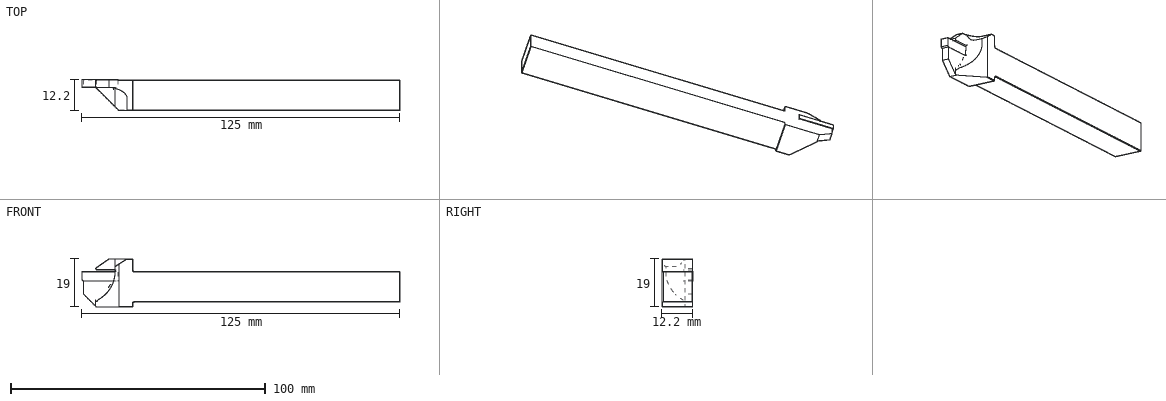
import cadquery as cq
import math

LENGTH = 125
WIDTH = 12.0
HEAD_HEIGHT = 19.0
HEAD_END = 20
SHANK_BOTTOM = 2.0
SHANK_TOP = 14.0
NECK_FILLET = 0.8
EDGE_CHAMFER = 0.2

BLADE_FACE = 9.1
BLADE_FRONT = 0.5
BLADE_BEVEL = 5.2
JAW_TIP_X = 5.2
JAW_TIP_Z = 15.2
JAW_BOTTOM = 14.6
JAW_TIP_BEVEL = 0.5
JAW_SLOPE_END = 10.6

INSERT_LENGTH = 14.1
INSERT_BOTTOM = 10.2
INSERT_TOP = SHANK_TOP
INSERT_PROUD = 0.2
INSERT_NOSE_BEVEL = BLADE_FRONT

CLEARANCE_END = 14.5
SCOOP_WALL = 13.0
SCOOP_RADIUS = 12.5
SCOOP_SWEEP = 60
SCOOP_FILLET = 0.8
SCOOP_FOOT = 5.6
RELIEF_END = 17.8
RELIEF_SLOPE = 32.5
RELIEF_RADIUS = 4.4
CUT_MARGIN = 6.2


def prism(profile, y_start, y_end):
    """Extrude an XZ profile between two Y positions."""
    return profile.extrude(y_start - y_end).translate((0, y_start, 0))


def box(x_start, x_end, y_start, y_end, z_start, z_end):
    size = (x_end - x_start, y_end - y_start, z_end - z_start)
    return cq.Workplane("XY").box(*size, centered=False).translate((x_start, y_start, z_start))


def make_blank():
    """Shank and head, before the front of the head is cut away."""
    outline = (
        cq.Workplane("XZ")
        .moveTo(BLADE_FRONT + BLADE_BEVEL, 0)
        .lineTo(HEAD_END - EDGE_CHAMFER, 0)
        .lineTo(HEAD_END, EDGE_CHAMFER)
        .lineTo(HEAD_END, SHANK_BOTTOM)
        .lineTo(LENGTH, SHANK_BOTTOM)
        .lineTo(LENGTH, SHANK_TOP)
        .lineTo(HEAD_END, SHANK_TOP)
        .lineTo(HEAD_END, HEAD_HEIGHT - EDGE_CHAMFER)
        .lineTo(HEAD_END - EDGE_CHAMFER, HEAD_HEIGHT)
        .lineTo(JAW_SLOPE_END, HEAD_HEIGHT)
        .lineTo(JAW_TIP_X, JAW_TIP_Z)
        .lineTo(JAW_TIP_X + JAW_TIP_BEVEL, JAW_BOTTOM)
        .lineTo(BLADE_FRONT, JAW_BOTTOM)
        .lineTo(BLADE_FRONT, BLADE_BEVEL)
        .close()
    )
    blank = prism(outline, 0, WIDTH)
    for z in (SHANK_BOTTOM, SHANK_TOP):
        corner = cq.selectors.NearestToPointSelector((HEAD_END, WIDTH / 2, z))
        blank = blank.edges("|Y").edges(corner).fillet(NECK_FILLET)
    rear_outline = cq.selectors.BoxSelector(
        (JAW_SLOPE_END, -EDGE_CHAMFER, -EDGE_CHAMFER),
        (LENGTH + EDGE_CHAMFER, EDGE_CHAMFER, HEAD_HEIGHT + EDGE_CHAMFER),
    )
    blank = blank.edges(rear_outline).chamfer(EDGE_CHAMFER)
    return blank.faces(">X").edges().chamfer(EDGE_CHAMFER)


def make_clearance():
    """Everything in front of the 45 degree face, up to the blade face."""
    return (
        cq.Workplane("XY")
        .moveTo(CLEARANCE_END + CUT_MARGIN, -CUT_MARGIN)
        .lineTo(CLEARANCE_END - BLADE_FACE, BLADE_FACE)
        .lineTo(-CUT_MARGIN, BLADE_FACE)
        .lineTo(-CUT_MARGIN, -CUT_MARGIN)
        .close()
        .extrude(HEAD_HEIGHT)
    )


def make_scoop():
    """Curved pocket through the 45 degree face, filleted at its floor."""
    sweep = math.radians(SCOOP_SWEEP)
    arc_center_x = SCOOP_WALL - SCOOP_RADIUS
    mid_x = arc_center_x + SCOOP_RADIUS * math.cos(sweep / 2)
    mid_z = SHANK_TOP - SCOOP_RADIUS * math.sin(sweep / 2)
    arc_x = arc_center_x + SCOOP_RADIUS * math.cos(sweep)
    arc_z = SHANK_TOP - SCOOP_RADIUS * math.sin(sweep)
    toe_radius = (arc_x - SCOOP_FOOT) / (1 - math.cos(sweep))
    foot_z = arc_z - toe_radius * math.sin(sweep)
    outline = (
        cq.Workplane("XZ")
        .moveTo(SCOOP_WALL, HEAD_HEIGHT + CUT_MARGIN)
        .lineTo(SCOOP_WALL, SHANK_TOP)
        .threePointArc((mid_x, mid_z), (arc_x, arc_z))
        .tangentArcPoint((SCOOP_FOOT, foot_z), relative=False)
        .lineTo(SCOOP_FOOT, -CUT_MARGIN)
        .lineTo(-CUT_MARGIN, -CUT_MARGIN)
        .lineTo(-CUT_MARGIN, HEAD_HEIGHT + CUT_MARGIN)
        .close()
    )
    sharp = prism(outline, -CUT_MARGIN, BLADE_FACE)
    seat_band = box(0, SCOOP_WALL, 0, BLADE_FACE, INSERT_BOTTOM, JAW_BOTTOM)
    wall_edges = cq.selectors.BoxSelector(
        (0, 0, -CUT_MARGIN), (SCOOP_WALL + CUT_MARGIN, WIDTH, HEAD_HEIGHT + CUT_MARGIN)
    )
    rounded = sharp.faces(">Y").edges(wall_edges).fillet(SCOOP_FILLET)
    return rounded.union(sharp.intersect(seat_band))


def make_top_relief():
    """Sloped relief over the scoop, rounded up to the blade face."""
    slope = math.radians(RELIEF_SLOPE)
    run = (math.cos(slope), 0, math.sin(slope))
    section = cq.Plane(origin=(RELIEF_END, 0, HEAD_HEIGHT), xDir=(0, 1, 0), normal=run)
    tangent_y = BLADE_FACE - RELIEF_RADIUS
    return (
        cq.Workplane(section)
        .moveTo(-CUT_MARGIN, 0)
        .lineTo(tangent_y, 0)
        .radiusArc((BLADE_FACE, RELIEF_RADIUS), -RELIEF_RADIUS)
        .lineTo(BLADE_FACE, HEAD_HEIGHT)
        .lineTo(-CUT_MARGIN, HEAD_HEIGHT)
        .close()
        .extrude(RELIEF_END, both=True)
    )


def make_holder():
    holder = make_blank()
    for cutter in (make_clearance(), make_scoop(), make_top_relief(), make_seat()):
        holder = holder.cut(cutter)
    return holder


def make_seat():
    """Slot between jaw and blade, behind the blade face."""
    return box(0, INSERT_LENGTH, BLADE_FACE, WIDTH, INSERT_BOTTOM, JAW_BOTTOM)


def make_insert():
    """Cutting insert, a bar lying on the blade and standing proud of the back face."""
    outline = (
        cq.Workplane("XZ")
        .moveTo(INSERT_NOSE_BEVEL, INSERT_BOTTOM)
        .lineTo(INSERT_LENGTH, INSERT_BOTTOM)
        .lineTo(INSERT_LENGTH, INSERT_TOP)
        .lineTo(0, INSERT_TOP)
        .lineTo(0, INSERT_BOTTOM + INSERT_NOSE_BEVEL)
        .close()
    )
    return prism(outline, BLADE_FACE, WIDTH + INSERT_PROUD)


holder = make_holder()
insert = make_insert()
result = cq.Compound.makeCompound([holder.solids().val(), insert.val()])